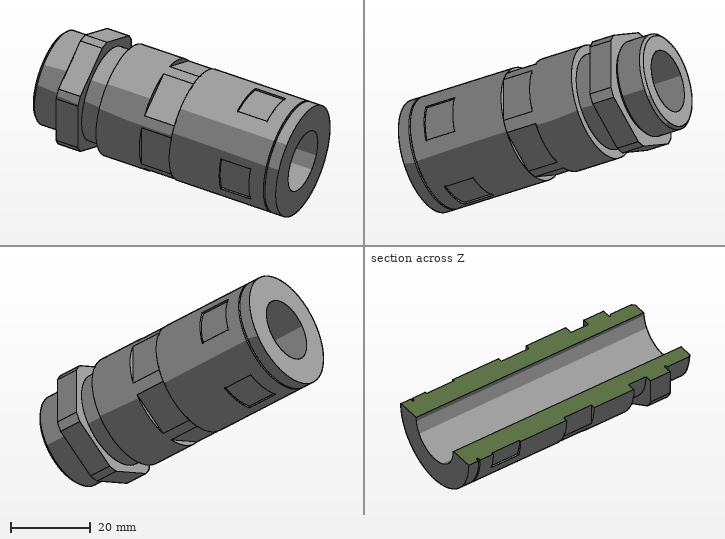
import cadquery as cq
import math

length = 70.0
bore_diameter = 16.0
thread_diameter = 25.0
thread_chamfer = 0.7

nut_start = 7.85
nut_end = 14.0
nut_across_flats = 28.9
nut_corner_diameter = 32.0

body_start = 19.25
body_diameter = 29.55
flats_start = 31.5
flats_end = 39.9
body_across_flats = 27.0
sleeve_diameter = 29.5

recess_start = 54.05
recess_end = 62.45
recess_width = 9.9
recess_floor_diameter = 28.4
recess_count = 4

groove_start = 66.5
groove_width = 0.4
groove_diameter = 27.5


def cylinder(diameter, start, end):
    """Solid cylinder along X between two stations."""
    return cq.Workplane("YZ", origin=(start, 0, 0)).circle(diameter / 2).extrude(end - start)


def hexagon(across_flats, start, end):
    """Hexagonal prism along X with two flats facing +Y and -Y."""
    corner_diameter = across_flats / math.cos(math.pi / 6)
    prism = cq.Workplane("YZ", origin=(start, 0, 0)).polygon(6, corner_diameter).extrude(end - start)
    return prism.rotate((0, 0, 0), (1, 0, 0), 30)


def make_recess_cutter():
    """Bars crossing the sleeve, hollowed so that they leave a round floor."""
    recess_length = recess_end - recess_start
    bar_size = (recess_length, body_diameter, recess_width)
    bar = cq.Workplane("XY", origin=((recess_start + recess_end) / 2, 0, 0)).box(*bar_size)
    cutter = bar
    for index in range(1, recess_count // 2):
        cutter = cutter.union(bar.rotate((0, 0, 0), (1, 0, 0), index * 360 / recess_count))
    return cutter.cut(cylinder(recess_floor_diameter, recess_start, recess_end))


thread = cylinder(thread_diameter, 0, nut_start).edges().chamfer(thread_chamfer)
neck = cylinder(thread_diameter, nut_end, body_start)

nut = hexagon(nut_across_flats, nut_start, nut_end).intersect(
    cylinder(nut_corner_diameter, nut_start, nut_end)
)

body = cylinder(body_diameter, body_start, flats_start)
wrench_flats = hexagon(body_across_flats, flats_start, flats_end).intersect(
    cylinder(body_diameter, flats_start, flats_end)
)

groove_end = groove_start + groove_width
sleeve = cylinder(sleeve_diameter, flats_end, groove_start).cut(make_recess_cutter())
groove = cylinder(groove_diameter, groove_start, groove_end)
end_ring = cylinder(sleeve_diameter, groove_end, length)

result = thread
for section in (nut, neck, body, wrench_flats, sleeve, groove, end_ring):
    result = result.union(section)
result = result.cut(cylinder(bore_diameter, 0, length))